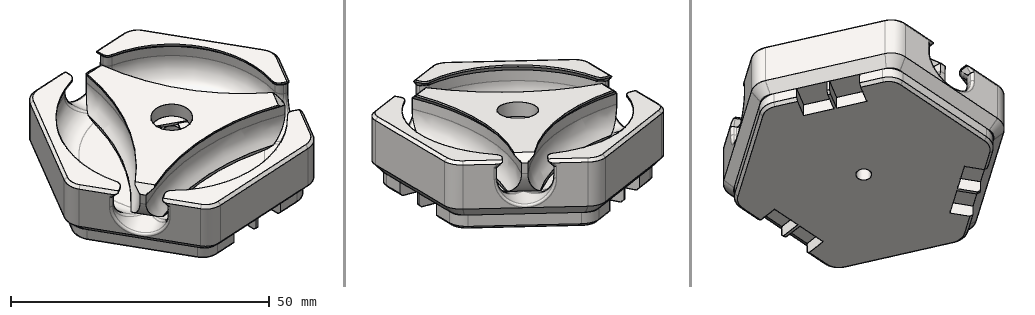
import cadquery as cq
import math

ACROSS_FLATS = 50.0
HEIGHT = 15.0
CORNER_RADIUS = 4.0
FOOT_HEIGHT = 3.0
FOOT_INSET = 1.9
TAPER_TOP_Z = 5.1
TAPER_CORNER_RADIUS = 2.75
EDGE_CHAMFER = 0.6

CHANNEL_RADIUS = 5.55
CHANNEL_CENTRE_Z = 11.2
CHANNEL_CENTRE_RADIUS = 17.95
LIP_RIM = 0.4
LIP_OVERHANG = 1.15
EXIT_MOUTH_RADIUS = 0.5
EXIT_CORNER_RADIUS = 1.5

FLOOR_Z = CHANNEL_CENTRE_Z - CHANNEL_RADIUS
RIM_Z = HEIGHT - LIP_RIM
WALL_TOP_Z = RIM_Z - LIP_OVERHANG

POCKET_WIDTH = 12.75
POCKET_DEPTH = 4.6
POCKET_RIB = 0.55

HUB_FLANK_DISTANCE = 8.9
HUB_FLANK_RADIUS = 46.9
HUB_TIP_RADIUS = 22.55
HUB_TIP_HALF_WIDTH = 4.5
HUB_TIP_BEVEL = 1.7
HUB_FOOT_OVERHANG = 0.95
HUB_FOOT_Z = 6.25

COUNTERBORE_DIAMETER = 8.0
COUNTERBORE_DEPTH = 3.0
CLEARANCE_DIAMETER = 3.5
STEP_DEPTH = 0.3
PILOT_DIAMETER = 3.0

EXIT_ANGLES = (90, 210, 330)
SIDE_ANGLES = (30, 150, 270)
SECTOR_ANGLE = 360 / len(EXIT_ANGLES)
MARGIN = 0.3
TOLERANCE = 0.005


def turned(shape, angle):
    """Rotate a shape about the Z axis."""
    return shape.rotate((0, 0, 0), (0, 0, 1), angle)


def rounded_hexagon(across_flats, corner_radius, z):
    """Wire of a hexagon with rounded corners and two sides parallel to X."""
    circumdiameter = across_flats / math.cos(math.radians(30))
    hexagon = cq.Workplane("XY").polygon(6, circumdiameter).extrude(0.55).edges("|Z").fillet(corner_radius)
    return hexagon.faces("<Z").wires().val().translate(cq.Vector(0, 0, z))


def prism(wire, height):
    return cq.Workplane(cq.Solid.extrudeLinear(wire, [], cq.Vector(0, 0, height)))


def tray_block():
    """Hexagonal block, tapered in to a smaller hexagonal foot."""
    foot_flats = ACROSS_FLATS - 2 * FOOT_INSET
    upper = prism(rounded_hexagon(ACROSS_FLATS, CORNER_RADIUS, TAPER_TOP_Z), HEIGHT - TAPER_TOP_Z)
    taper = cq.Solid.makeLoft(
        [
            rounded_hexagon(foot_flats, TAPER_CORNER_RADIUS, FOOT_HEIGHT),
            rounded_hexagon(ACROSS_FLATS, CORNER_RADIUS, TAPER_TOP_Z),
        ],
        True,
    )
    foot = prism(rounded_hexagon(foot_flats, CORNER_RADIUS, 0), FOOT_HEIGHT)
    foot = foot.faces("<Z").chamfer(EDGE_CHAMFER)
    for angle in SIDE_ANGLES:
        foot = foot.cut(turned(foot_pockets(), angle - 270))
    return upper.union(cq.Workplane(taper)).union(foot)


def half_channel():
    """Section of the ring groove, from the Z axis out to its wall."""
    centre = CHANNEL_CENTRE_RADIUS
    wall = centre + CHANNEL_RADIUS
    arc_reach = CHANNEL_RADIUS * math.sqrt(0.5)
    return (
        cq.Workplane("XZ")
        .moveTo(0, FLOOR_Z)
        .lineTo(centre, FLOOR_Z)
        .threePointArc((centre + arc_reach, CHANNEL_CENTRE_Z - arc_reach), (wall, CHANNEL_CENTRE_Z))
        .lineTo(wall, WALL_TOP_Z)
        .lineTo(wall - LIP_OVERHANG, RIM_Z)
        .lineTo(wall - LIP_OVERHANG, HEIGHT)
        .lineTo(0, HEIGHT)
        .close()
    )


def exit_channel():
    """Straight channel running from the flat floor out through the +Y side."""
    wall = CHANNEL_RADIUS
    lip = wall - LIP_OVERHANG
    section = (
        cq.Workplane("XZ", origin=(0, ACROSS_FLATS / 2, 0))
        .moveTo(-lip, HEIGHT)
        .lineTo(-lip, RIM_Z)
        .lineTo(-wall, WALL_TOP_Z)
        .lineTo(-wall, CHANNEL_CENTRE_Z)
        .threePointArc((0, FLOOR_Z), (wall, CHANNEL_CENTRE_Z))
        .lineTo(wall, WALL_TOP_Z)
        .lineTo(lip, RIM_Z)
        .lineTo(lip, HEIGHT)
        .close()
    )
    return section.extrude(ACROSS_FLATS / 2 - CHANNEL_CENTRE_RADIUS / 2)


def channel_corners(space):
    """Edges where the walls of the +Y exit turn into the wall of the ring groove."""
    corners = []
    for edge in space.edges().vals():
        middle = edge.Center()
        rises = abs(edge.startPoint().z - edge.endPoint().z) > MARGIN
        beside_exit = abs(middle.x) < CHANNEL_RADIUS + MARGIN
        if rises and beside_exit and CHANNEL_CENTRE_RADIUS < middle.y < ACROSS_FLATS / 2 - MARGIN:
            corners.append(edge)
    return corners


def channel_sector():
    """Third of the channel space: a ring sector centred on +Y with its exit."""
    sector = half_channel().revolve(SECTOR_ANGLE, (0, 0, 0), (0, 1, 0))
    sector = turned(sector, 90 - SECTOR_ANGLE / 2)
    space = sector.union(exit_channel())
    return space.newObject(channel_corners(space)).fillet(EXIT_CORNER_RADIUS)


def foot_pockets():
    """Pair of pockets in the -Y side of the foot, separated by a thin rib."""
    back_y = -ACROSS_FLATS / 2 + FOOT_INSET + POCKET_DEPTH
    length = POCKET_DEPTH + MARGIN
    pocket_width = (POCKET_WIDTH - POCKET_RIB) / 2
    offset = (POCKET_WIDTH + POCKET_RIB) / 4
    pockets = cq.Workplane("XY", origin=(0, back_y - length / 2, 0))
    return pockets.pushPoints([(-offset, 0), (offset, 0)]).rect(pocket_width, length).extrude(FOOT_HEIGHT)


def flank_groove():
    """Ring that carves the concave flank of the hub facing -Y."""
    lip = HUB_FLANK_RADIUS
    wall = lip + LIP_OVERHANG
    foot = lip - HUB_FOOT_OVERHANG
    run = wall - foot
    drop = CHANNEL_CENTRE_Z - HUB_FOOT_Z
    flare_radius = (run**2 + drop**2) / (2 * run)
    half_sweep = math.asin(drop / flare_radius) / 2
    flare_mid = (
        wall - flare_radius * (1 - math.cos(half_sweep)),
        CHANNEL_CENTRE_Z - flare_radius * math.sin(half_sweep),
    )
    inner = lip - HUB_TIP_RADIUS
    section = (
        cq.Workplane("XZ")
        .moveTo(inner, FLOOR_Z)
        .lineTo(foot, FLOOR_Z)
        .lineTo(foot, HUB_FOOT_Z)
        .threePointArc(flare_mid, (wall, CHANNEL_CENTRE_Z))
        .lineTo(wall, WALL_TOP_Z)
        .lineTo(lip, RIM_Z)
        .lineTo(lip, HEIGHT)
        .lineTo(inner, HEIGHT)
        .close()
    )
    ring = section.revolve(360, (0, 0, 0), (0, 1, 0))
    return ring.translate((0, -HUB_FLANK_DISTANCE - HUB_FLANK_RADIUS, 0))


def tip_trim():
    """Space beyond the +Y tip: a bevel above it and a round undercut below it."""
    arc_inset = CHANNEL_RADIUS * (1 - math.sqrt(0.5))
    arc_drop = CHANNEL_RADIUS * math.sqrt(0.5)
    outside = HUB_TIP_RADIUS + MARGIN
    return (
        cq.Workplane("YZ")
        .moveTo(HUB_TIP_RADIUS - HUB_TIP_BEVEL, HEIGHT)
        .lineTo(HUB_TIP_RADIUS, WALL_TOP_Z)
        .lineTo(HUB_TIP_RADIUS, CHANNEL_CENTRE_Z)
        .threePointArc(
            (HUB_TIP_RADIUS - arc_inset, CHANNEL_CENTRE_Z - arc_drop),
            (HUB_TIP_RADIUS - CHANNEL_RADIUS, FLOOR_Z),
        )
        .lineTo(outside, FLOOR_Z)
        .lineTo(outside, HEIGHT)
        .close()
        .extrude(HUB_TIP_HALF_WIDTH + MARGIN, both=True)
    )


def hub_blank():
    """Hub without its screw hole."""
    corners = []
    for angle in EXIT_ANGLES:
        direction = cq.Vector(math.cos(math.radians(angle)), math.sin(math.radians(angle)), 0)
        across = cq.Vector(-direction.y, direction.x, 0)
        for side in (-1, 1):
            corner = direction * HUB_TIP_RADIUS + across * (side * HUB_TIP_HALF_WIDTH)
            corners.append((corner.x, corner.y))
    blank = cq.Workplane("XY", origin=(0, 0, FLOOR_Z)).polyline(corners).close().extrude(HEIGHT - FLOOR_Z)
    for angle in EXIT_ANGLES:
        blank = blank.cut(turned(flank_groove(), angle - 90))
        blank = blank.cut(turned(tip_trim(), angle - 90))
    return blank


def screw_hole():
    """Counterbore that steps down through a slot and a square to the clearance hole."""
    seat_z = HEIGHT - COUNTERBORE_DEPTH
    slot_z = seat_z - STEP_DEPTH
    square_z = slot_z - STEP_DEPTH
    top = cq.Workplane("XY", origin=(0, 0, seat_z))
    bore = top.circle(COUNTERBORE_DIAMETER / 2).extrude(COUNTERBORE_DEPTH)
    slot = top.rect(CLEARANCE_DIAMETER, COUNTERBORE_DIAMETER).extrude(-STEP_DEPTH)
    slot = slot.intersect(top.circle(COUNTERBORE_DIAMETER / 2).extrude(-STEP_DEPTH))
    square = cq.Workplane("XY", origin=(0, 0, square_z)).rect(CLEARANCE_DIAMETER, CLEARANCE_DIAMETER)
    hole = cq.Workplane("XY", origin=(0, 0, FLOOR_Z)).circle(CLEARANCE_DIAMETER / 2)
    return bore.union(slot).union(square.extrude(STEP_DEPTH)).union(hole.extrude(square_z - FLOOR_Z))


def make_hub():
    return hub_blank().cut(screw_hole())


def rounded_mouths(tray):
    """Round the edges where the exits break through the outer sides."""
    mouth_edges = []
    for angle in EXIT_ANGLES:
        outward = cq.Vector(math.cos(math.radians(angle)), math.sin(math.radians(angle)), 0)
        for edge in tray.edges().vals():
            middle = edge.Center()
            reach = middle.dot(outward)
            sideways = (middle - outward * reach).cross(cq.Vector(0, 0, 1)).Length
            on_side = abs(reach - ACROSS_FLATS / 2) < TOLERANCE
            beside_exit = sideways < CHANNEL_RADIUS + TOLERANCE
            if on_side and beside_exit and TAPER_TOP_Z + TOLERANCE < middle.z < HEIGHT - TOLERANCE:
                mouth_edges.append(edge)
    return tray.newObject(mouth_edges).fillet(EXIT_MOUTH_RADIUS)


def top_chamfer_envelope():
    """Full-height hexagonal prism with the chamfer of the tray's top edge."""
    envelope = prism(rounded_hexagon(ACROSS_FLATS, CORNER_RADIUS, 0), HEIGHT)
    return envelope.faces(">Z").chamfer(EDGE_CHAMFER)


def make_tray():
    """Tray with its channels, a seat that matches the hub and a pilot hole."""
    tray = tray_block()
    for angle in EXIT_ANGLES:
        tray = tray.cut(turned(channel_sector(), angle - 90))
    tray = rounded_mouths(tray).intersect(top_chamfer_envelope())
    tray = tray.cut(hub_blank())
    pilot = cq.Workplane("XY").circle(PILOT_DIAMETER / 2).extrude(FLOOR_Z)
    return tray.cut(pilot)


tray = make_tray()
hub = make_hub()
result = cq.Compound.makeCompound([tray.val(), hub.val()])